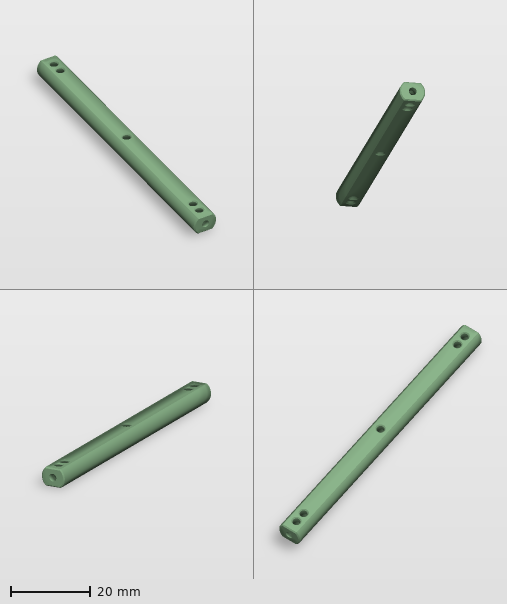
import cadquery as cq

length = 78.1
rod_diameter = 6.6
flat_height = 5.0
end_chamfer = 0.3

bore_diameter = 2.0
cross_hole_diameter = 2.0
countersink_depth = 0.3
countersink_diameter = cross_hole_diameter + 2 * countersink_depth
end_margin = 3.1
pair_spacing = 3.1

outer_hole_x = length / 2 - end_margin
inner_hole_x = outer_hole_x - pair_spacing
cross_hole_positions = [-outer_hole_x, -inner_hole_x, 0, inner_hole_x, outer_hole_x]


def flatted_rod():
    """Rod along X, centred on the origin, with flats facing +Z and -Z and chamfered ends."""
    rod = cq.Workplane("YZ").circle(rod_diameter / 2).extrude(length / 2, both=True)
    between_flats = cq.Workplane("XY").box(length, rod_diameter, flat_height)
    return rod.intersect(between_flats).faces("<X or >X").chamfer(end_chamfer)


def lengthwise_bore():
    """Cylinder along X that runs through both end faces."""
    return cq.Workplane("YZ").circle(bore_diameter / 2).extrude(length / 2, both=True)


def cross_hole(x):
    """Vertical through hole at x with a 45 degree countersink at each flat."""
    half_profile = [
        (0, 0),
        (cross_hole_diameter / 2, 0),
        (cross_hole_diameter / 2, flat_height / 2 - countersink_depth),
        (countersink_diameter / 2, flat_height / 2),
        (0, flat_height / 2),
    ]
    upper_half = cq.Workplane("XZ").polyline(half_profile).close().revolve(360, (0, 0), (0, 1))
    return upper_half.union(upper_half.mirror("XY")).translate((x, 0, 0))


result = flatted_rod().cut(lengthwise_bore())
for hole_x in cross_hole_positions:
    result = result.cut(cross_hole(hole_x))